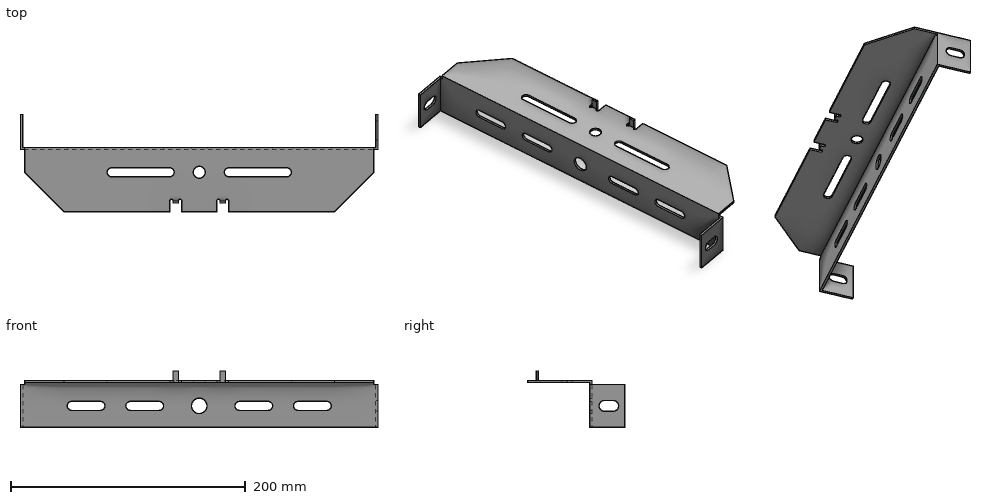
import cadquery as cq

thickness = 2.0

overall_width = 305.0
plate_top = 40.0
plate_depth = 55.0
flange_reach = 30.0
tab_top = 48.0

corner_relief = 3.5

half_width = overall_width / 2
web_back = thickness
plate_front = web_back - plate_depth
plate_bottom = plate_top - thickness
plate_half_width = half_width - corner_relief
flat_top = plate_top - corner_relief

corner_cut = 33.5
plate_opening_y = -19.3
plate_hole_diameter = 10.0
plate_slot_x = 50.0
plate_slot_length = 57.0
slot_width = 7.5

web_opening_z = flat_top / 2
web_hole_diameter = 13.0
web_slot_xs = (46.5, 96.5)
web_slot_length = 32.0

flange_slot_y = 16.3
flange_slot_length = 16.5
flange_slot_width = 9.0

tab_x = 20.0
tab_width = 4.8
tab_setback = 7.3
tab_front = plate_front + tab_setback
notch_width = 10.0
notch_depth = 10.7
relief_width = (notch_width - tab_width) / 2


def box(x_range, y_range, z_range):
    """Axis-aligned box between pairs of limits."""
    size = [high - low for low, high in (x_range, y_range, z_range)]
    corner = (x_range[0], y_range[0], z_range[0])
    return cq.Workplane("XY").box(*size, centered=False).translate(corner)


def make_plate_and_web():
    """L-shaped strip: a plate with cut front corners, bent down along its back edge."""
    strip = box((-plate_half_width, plate_half_width), (plate_front, web_back), (0, plate_top))
    hollow = box((-plate_half_width, plate_half_width), (plate_front, 0), (0, plate_bottom))
    strip = strip.cut(hollow)
    for side in (-1, 1):
        corner = (
            cq.Workplane("XY")
            .moveTo(side * plate_half_width, plate_front)
            .lineTo(side * (plate_half_width - corner_cut), plate_front)
            .lineTo(side * plate_half_width, plate_front + corner_cut)
            .close()
            .extrude(plate_top)
        )
        strip = strip.cut(corner)
    return strip


def make_flange_band():
    """U-shaped band: the web up to the flange tops, with both end flanges bent back."""
    band = box((-half_width, half_width), (0, flange_reach), (0, flat_top))
    inner_half_width = half_width - thickness
    hollow = box((-inner_half_width, inner_half_width), (web_back, flange_reach), (0, flat_top))
    return band.cut(hollow)


def cut_plate_openings(body):
    """Central hole and a long slot on each side of it."""
    hole = (
        cq.Workplane("XY", origin=(0, plate_opening_y, plate_bottom))
        .circle(plate_hole_diameter / 2)
        .extrude(thickness)
    )
    slots = (
        cq.Workplane("XY", origin=(0, plate_opening_y, plate_bottom))
        .pushPoints([(-plate_slot_x, 0), (plate_slot_x, 0)])
        .slot2D(plate_slot_length, slot_width)
        .extrude(thickness)
    )
    return body.cut(hole).cut(slots)


def cut_web_openings(body):
    """Central hole and two slots on each side of it."""
    plane = cq.Workplane("XZ", origin=(0, web_back, web_opening_z))
    hole = plane.circle(web_hole_diameter / 2).extrude(thickness)
    slot_points = [(side * x, 0) for side in (-1, 1) for x in web_slot_xs]
    slots = plane.pushPoints(slot_points).slot2D(web_slot_length, slot_width).extrude(thickness)
    return body.cut(hole).cut(slots)


def cut_flange_slots(body):
    """One slot through both end flanges."""
    slots = (
        cq.Workplane("YZ", origin=(-half_width, flange_slot_y, web_opening_z))
        .slot2D(flange_slot_length, flange_slot_width)
        .extrude(overall_width)
    )
    return body.cut(slots)


def cut_notch(body, x):
    """Notch for one tab, with a round-ended relief on each side of the tab."""
    relief_radius = relief_width / 2
    relief_centre_y = plate_front + notch_depth - relief_radius
    notch = box(
        (x - notch_width / 2, x + notch_width / 2),
        (plate_front, relief_centre_y),
        (plate_bottom, plate_top),
    )
    relief_offset = (tab_width + relief_width) / 2
    reliefs = (
        cq.Workplane("XY", origin=(x, relief_centre_y, plate_bottom))
        .pushPoints([(-relief_offset, 0), (relief_offset, 0)])
        .circle(relief_radius)
        .extrude(thickness)
    )
    return body.cut(notch).cut(reliefs)


def make_tab(x):
    """Upright tab with the short tongue that joins it to the plate between the reliefs."""
    x_range = (x - tab_width / 2, x + tab_width / 2)
    upright = box(x_range, (tab_front, tab_front + thickness), (plate_bottom, tab_top))
    tongue = box(x_range, (tab_front, plate_front + notch_depth), (plate_bottom, plate_top))
    return upright.union(tongue)


result = make_plate_and_web().union(make_flange_band())
result = cut_plate_openings(result)
result = cut_web_openings(result)
result = cut_flange_slots(result)
for tab_centre in (-tab_x, tab_x):
    result = cut_notch(result, tab_centre).union(make_tab(tab_centre))